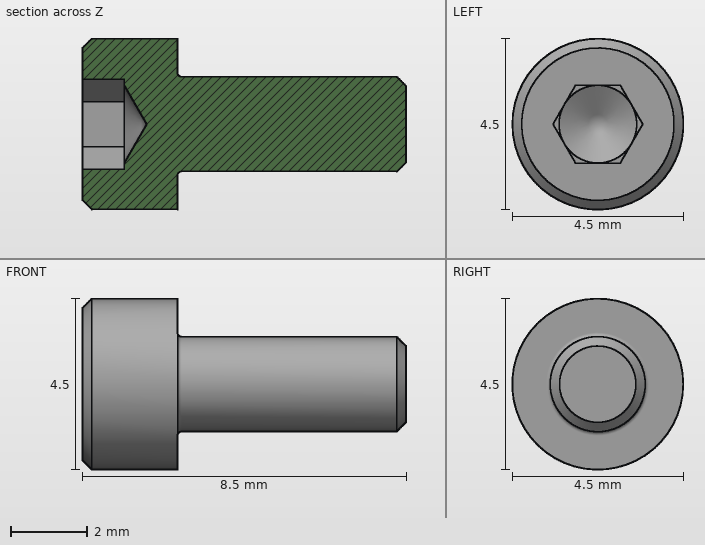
import cadquery as cq
import math

total_length = 8.5
head_diameter = 4.5
head_height = 2.5
shank_diameter = 2.5
chamfer = 0.25
neck_fillet = 0.1

socket_flats = 2.04
socket_depth = 1.1
cone_half_angle = 60.0

head_radius = head_diameter / 2
shank_radius = shank_diameter / 2


def make_body():
    """Revolve the screw's half outline about the X axis."""
    fillet_mid = neck_fillet * (1 - math.sqrt(0.5))
    return (
        cq.Workplane("XY")
        .moveTo(0, 0)
        .lineTo(0, head_radius - chamfer)
        .lineTo(chamfer, head_radius)
        .lineTo(head_height, head_radius)
        .lineTo(head_height, shank_radius + neck_fillet)
        .threePointArc(
            (head_height + fillet_mid, shank_radius + fillet_mid),
            (head_height + neck_fillet, shank_radius),
        )
        .lineTo(total_length - chamfer, shank_radius)
        .lineTo(total_length, shank_radius - chamfer)
        .lineTo(total_length, 0)
        .close()
        .revolve(360, (0, 0, 0), (1, 0, 0))
    )


def make_socket():
    """Hexagonal prism with flats facing +-Z, ending in a cone."""
    across_corners = socket_flats / math.cos(math.radians(30))
    prism = cq.Workplane("YZ").polygon(6, across_corners).extrude(socket_depth)
    cone_radius = socket_flats / 2
    cone_depth = cone_radius / math.tan(math.radians(cone_half_angle))
    cone = (
        cq.Workplane("XY")
        .moveTo(socket_depth, 0)
        .lineTo(socket_depth, cone_radius)
        .lineTo(socket_depth + cone_depth, 0)
        .close()
        .revolve(360, (0, 0, 0), (1, 0, 0))
    )
    return prism.union(cone)


result = make_body().cut(make_socket())